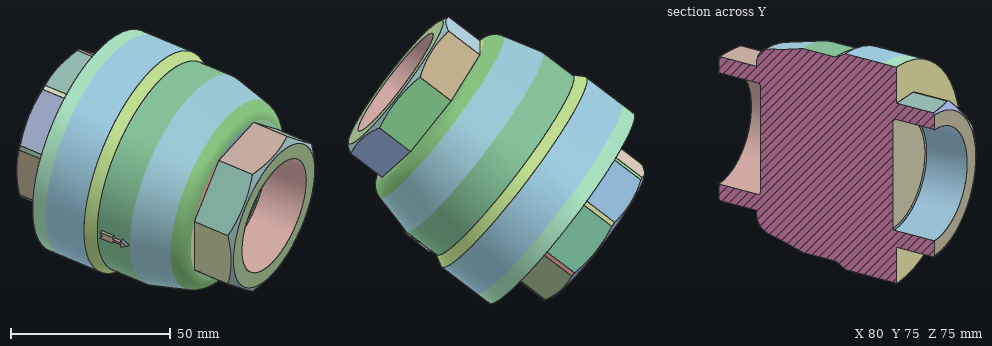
import cadquery as cq
import math

overall_length = 80.0
octagon_length = 14.0
body_start = octagon_length
body_end = overall_length - octagon_length
flange_width = 5.0
flange_end = body_start + flange_width
collar_end = 33.0
neck_start = 36.6
neck_end = 48.7
nose_start = 61.7

collar_diameter = 75.0
neck_diameter = 70.84
nose_diameter = 64.0
nose_face_diameter = 54.0

octagon_sides = 8
across_flats = 50.0
across_corners = across_flats / math.cos(math.pi / octagon_sides)
inlet_corner_diameter = 53.5
end_face_diameter = 48.6
end_chamfer_angle = math.radians(30)

socket_diameter = 38.4
socket_floor_diameter = 37.2
socket_depth = 15.3
socket_floor_taper = 0.3

arrow_height = 1.0
arrow_tail = 38.2
arrow_notch_depth = 0.75
arrow_feather_end = 42.7
arrow_feather_slant = 0.4
arrow_head_start = 45.9
arrow_tip = 48.25
arrow_half_width = 1.25
arrow_shaft_half_width = 0.4


def revolve_about_x(profile):
    """Revolve a closed (X, radius) profile a full turn about the X axis."""
    return profile.close().revolve(360, (0, 0, 0), (1, 0, 0))


def arc_middle(start, slope, end):
    """Middle point of the arc leaving start at the given slope and arriving at end."""
    chord = math.hypot(end[0] - start[0], end[1] - start[1])
    chord_angle = math.atan2(end[1] - start[1], end[0] - start[0])
    turn = math.atan(slope) - chord_angle
    bulge = chord / 2 * math.tan(turn / 2)
    return (
        (start[0] + end[0]) / 2 - bulge * math.sin(chord_angle),
        (start[1] + end[1]) / 2 + bulge * math.cos(chord_angle),
    )


def make_body():
    """Round body: flange, collar, neck, tapered shoulder and rounded nose."""
    nose_point = (nose_start, nose_diameter / 2)
    face_point = (body_end, nose_face_diameter / 2)
    shoulder_slope = (nose_diameter - neck_diameter) / 2 / (nose_start - neck_end)
    flange = (
        cq.Workplane("YZ")
        .workplane(offset=body_start)
        .circle(collar_diameter / 2)
        .extrude(flange_width)
    )
    casing = revolve_about_x(
        cq.Workplane("XY")
        .moveTo(flange_end, 0)
        .lineTo(flange_end, collar_diameter / 2)
        .lineTo(collar_end, collar_diameter / 2)
        .lineTo(neck_start, neck_diameter / 2)
        .lineTo(neck_end, neck_diameter / 2)
        .lineTo(*nose_point)
        .threePointArc(arc_middle(nose_point, shoulder_slope, face_point), face_point)
        .lineTo(body_end, 0)
    )
    return flange.union(casing, clean=False)


def make_octagon_end(corner_diameter):
    """Octagonal end with its outer face at X = 0, trimmed to a corner diameter."""
    octagon = (
        cq.Workplane("YZ")
        .polygon(octagon_sides, across_corners)
        .extrude(octagon_length)
        .rotate((0, 0, 0), (1, 0, 0), 180 / octagon_sides)
    )
    chamfer_length = (corner_diameter - end_face_diameter) / 2 * math.tan(end_chamfer_angle)
    envelope = revolve_about_x(
        cq.Workplane("XY")
        .lineTo(0, end_face_diameter / 2)
        .lineTo(chamfer_length, corner_diameter / 2)
        .lineTo(octagon_length, corner_diameter / 2)
        .lineTo(octagon_length, 0)
    )
    return octagon.intersect(envelope)


def make_socket():
    """Blind pipe socket entering at X = 0, with a small taper at its floor."""
    return revolve_about_x(
        cq.Workplane("XY")
        .lineTo(0, socket_diameter / 2)
        .lineTo(socket_depth - socket_floor_taper, socket_diameter / 2)
        .lineTo(socket_depth, socket_floor_diameter / 2)
        .lineTo(socket_depth, 0)
    )


def at_outlet(shape):
    """Mirror an inlet feature to the outlet end."""
    return shape.mirror("YZ").translate((overall_length, 0, 0))


def make_arrow():
    """Flow arrow whose outer surface is concentric with the neck."""
    outline = [
        (arrow_tail, arrow_half_width),
        (arrow_feather_end, arrow_half_width),
        (arrow_feather_end + arrow_feather_slant, arrow_shaft_half_width),
        (arrow_head_start, arrow_shaft_half_width),
        (arrow_head_start, arrow_half_width),
        (arrow_tip, 0),
    ]
    lower_outline = [(x, -z) for x, z in reversed(outline[:-1])]
    notch = (arrow_tail + arrow_notch_depth, 0)
    arrow_radius = neck_diameter / 2 + arrow_height
    prism = (
        cq.Workplane("XZ")
        .polyline(outline + lower_outline + [notch])
        .close()
        .extrude(arrow_radius)
    )
    outer_cylinder = (
        cq.Workplane("YZ")
        .workplane(offset=neck_start)
        .circle(arrow_radius)
        .extrude(neck_end - neck_start)
    )
    return prism.intersect(outer_cylinder)


inlet_end = make_octagon_end(inlet_corner_diameter)
outlet_end = at_outlet(make_octagon_end(across_corners))

result = (
    make_body()
    .union(inlet_end, clean=False)
    .union(outlet_end, clean=False)
    .union(make_arrow(), clean=False)
    .cut(make_socket(), clean=False)
    .cut(at_outlet(make_socket()), clean=False)
)